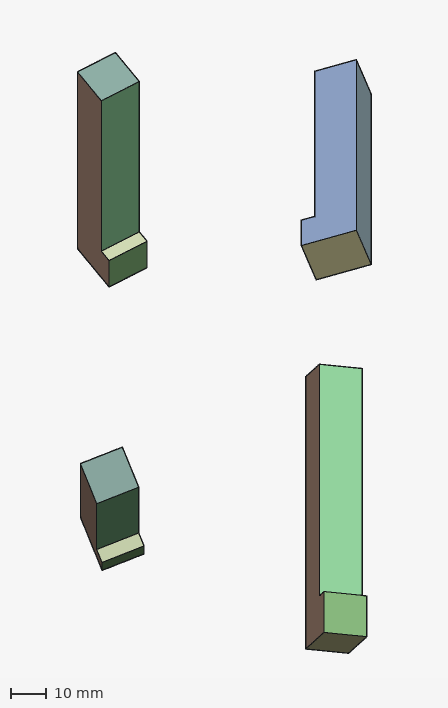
import cadquery as cq

column_width = 12.35
toe_length = 4.0
depth = 12.7
height = 80.0
toe_height = 12.0

total_width = column_width + toe_length


def l_shaped_bar():
    """Upright square-edged bar with a short toe at its foot on the +X side."""
    profile = (
        cq.Workplane("XZ")
        .moveTo(0, 0)
        .lineTo(total_width, 0)
        .lineTo(total_width, toe_height)
        .lineTo(column_width, toe_height)
        .lineTo(column_width, height)
        .lineTo(0, height)
        .close()
    )
    return profile.extrude(depth / 2, both=True)


result = l_shaped_bar()